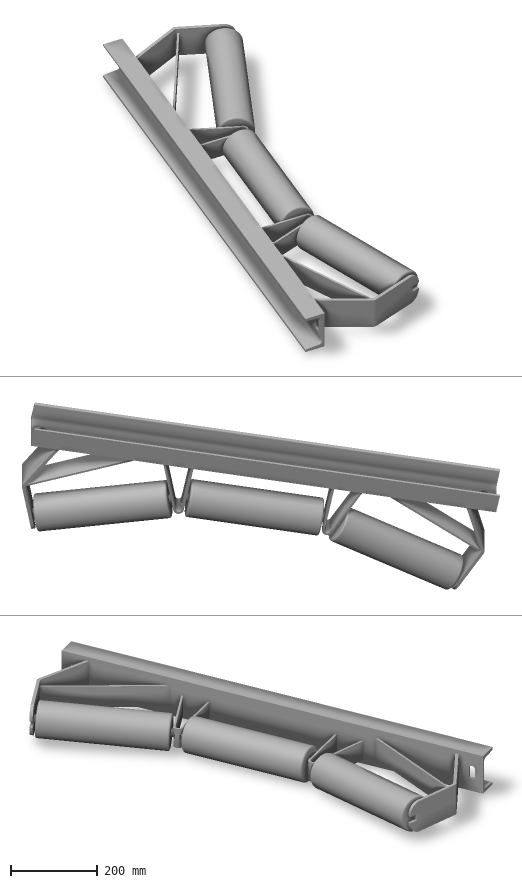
import cadquery as cq
import math

channel_length = 1100.0
channel_depth = 50.0
channel_height = 100.0
web_thickness = 6.0
flange_tip_thickness = 7.2
flange_taper = 0.08
root_radius = 9.0
toe_radius = 3.0
slot_width = 16.0
slot_height = 33.0
slot_inset = 29.0

roller_length = 315.0
roller_diameter = 89.0
roller_edge_radius = 4.0
hub_radius = 11.0
hub_length = 5.0
shaft_square = 16.0
end_gap = 7.0
center_roller_y = 115.0
center_roller_z = -14.0
wing_x = 346.0
wing_y = 180.0
wing_angle = 20.0
wing_tilt = 2.5

bracket_height = 80.0
mid_bracket_height = 51.0
outer_sheet = 8.0
mid_sheet = 5.0
mid_bend_radius = 12.0
bend_drop = 115.0
tip_rise = 30.0
tip_corner_radius = 29.0
leg_angle = 25.0
bend_radius = 11.0
strut_sheet = 5.0
strut_height = 55.0
strut_foot_x = 273.0
strut_angle = 27.5

half_length = roller_length / 2
cos_wing = math.cos(math.radians(wing_angle))
sin_wing = math.sin(math.radians(wing_angle))
tan_wing = sin_wing / cos_wing
wing_rise = half_length * math.sin(math.radians(wing_tilt))
wing_z = center_roller_z + wing_rise


def wing_point(along, across):
    """XY point given along and across the axis of the +X wing roller, from its middle."""
    x = wing_x + along * cos_wing - across * sin_wing
    y = wing_y + along * sin_wing + across * cos_wing
    return x, y


def placed(body, side):
    """Keep a +X body in place for side 1, mirror it to -X for side -1."""
    return body if side > 0 else body.mirror("YZ")


def extrude_about_mid_plane(outline, height):
    return outline.extrude(height / 2, both=True)


def make_web_slot(x):
    """Cutter for a bolt slot with a square lower end and a round upper end."""
    half_width = slot_width / 2
    arch_z = slot_height / 2 - half_width
    return (
        cq.Workplane("XZ", origin=(x, 0, 0))
        .moveTo(-half_width, -slot_height / 2)
        .lineTo(-half_width, arch_z)
        .threePointArc((0, slot_height / 2), (half_width, arch_z))
        .lineTo(half_width, -slot_height / 2)
        .close()
        .extrude(channel_depth)
    )


def make_channel():
    half_height = channel_height / 2
    tip_z = half_height - flange_tip_thickness
    root_z = tip_z - flange_taper * (channel_depth - web_thickness)
    channel = (
        cq.Workplane("YZ", origin=(-channel_length / 2, 0, 0))
        .polyline([
            (0, half_height),
            (0, -half_height),
            (-channel_depth, -half_height),
            (-channel_depth, -tip_z),
            (-web_thickness, -root_z),
            (-web_thickness, root_z),
            (-channel_depth, tip_z),
            (-channel_depth, half_height),
        ])
        .close()
        .extrude(channel_length)
    )
    for z in (-root_z, root_z):
        root = cq.selectors.NearestToPointSelector((0, -web_thickness, z))
        channel = channel.edges("|X").edges(root).fillet(root_radius)
    for z in (-tip_z, tip_z):
        toe = cq.selectors.NearestToPointSelector((0, -channel_depth, z))
        channel = channel.edges("|X").edges(toe).fillet(toe_radius)
    slot_x = channel_length / 2 - slot_inset
    for x in (-slot_x, slot_x):
        channel = channel.cut(make_web_slot(x))
    return channel


def make_square_end(start, end):
    return cq.Workplane("YZ", origin=(start, 0, 0)).rect(shaft_square, shaft_square).extrude(end - start)


def make_roller(left_sheet, right_sheet):
    drum = (
        cq.Workplane("YZ", origin=(-half_length, 0, 0))
        .circle(roller_diameter / 2)
        .extrude(roller_length)
        .faces("<X or >X")
        .edges()
        .fillet(roller_edge_radius)
    )
    hub_span = roller_length + 2 * hub_length
    hubs = cq.Workplane("YZ", origin=(-hub_span / 2, 0, 0)).circle(hub_radius).extrude(hub_span)
    left_tip = half_length + end_gap + left_sheet
    right_tip = half_length + end_gap + right_sheet
    left_end = make_square_end(-left_tip, -half_length - hub_length)
    right_end = make_square_end(half_length + hub_length, right_tip)
    return drum.union(hubs).union(left_end).union(right_end)


def place_on_wing(body):
    return (
        body.rotate((0, 0, 0), (0, 1, 0), -wing_tilt)
        .rotate((0, 0, 0), (0, 0, 1), wing_angle)
        .translate((wing_x, wing_y, wing_z))
    )


def place_at_center(body):
    return body.translate((0, center_roller_y, center_roller_z))


def make_shaft_slot(start, end):
    return cq.Workplane("XY").box(
        end - start, roller_length, shaft_square, centered=(False, False, True)
    ).translate((start, -shaft_square / 2, 0))


outer_inner_face = half_length + end_gap
outer_outer_face = outer_inner_face + outer_sheet


def make_outer_bracket():
    tan_leg = math.tan(math.radians(leg_angle))
    half_bend = math.radians(wing_angle + leg_angle) / 2
    outer_bend = wing_point(outer_outer_face, -bend_drop)
    inner_bend = wing_point(outer_inner_face, -bend_drop + outer_sheet * math.tan(half_bend))
    sheet = extrude_about_mid_plane(
        cq.Workplane("XY").polyline([
            wing_point(outer_inner_face, tip_rise),
            wing_point(outer_outer_face, tip_rise),
            outer_bend,
            (outer_bend[0] - outer_bend[1] * tan_leg, 0),
            (inner_bend[0] - inner_bend[1] * tan_leg, 0),
            inner_bend,
        ]).close(),
        bracket_height,
    )
    sheet = sheet.edges(cq.selectors.NearestToPointSelector((*outer_bend, 0))).fillet(bend_radius)
    sheet = sheet.edges(cq.selectors.NearestToPointSelector((*inner_bend, 0))).fillet(bend_radius - outer_sheet)
    middle_of_sheet = (outer_inner_face + outer_outer_face) / 2
    for z in (-bracket_height / 2, bracket_height / 2):
        corner = (*wing_point(middle_of_sheet, tip_rise), z)
        sheet = sheet.edges(cq.selectors.NearestToPointSelector(corner)).fillet(tip_corner_radius)
    slot = make_shaft_slot(half_length, outer_outer_face + outer_sheet)
    return sheet.cut(place_on_wing(slot))


def mid_bracket_outline(inset):
    """Closed outline of the fold, its faces moved inwards by inset."""
    face = half_length + end_gap
    bend_along = -face - mid_bend_radius
    bend_x = face + mid_bend_radius
    bend_across = (wing_x + bend_along * cos_wing - bend_x) / sin_wing
    bend_y = wing_point(bend_along, bend_across)[1]
    radius = mid_bend_radius - inset
    wing_tangent = (bend_x + radius * cos_wing, bend_y + radius * sin_wing)
    return (
        cq.Workplane("XY")
        .moveTo(bend_x - radius, 0)
        .lineTo(bend_x - radius, bend_y)
        .threePointArc((bend_x, bend_y + radius), wing_tangent)
        .lineTo(wing_tangent[0] + wing_tangent[1] * tan_wing, 0)
        .close()
    )


def make_mid_bracket():
    fold = mid_bracket_outline(0).extrude(mid_bracket_height)
    hollow = mid_bracket_outline(mid_sheet).extrude(mid_bracket_height)
    sheet = fold.cut(hollow).translate((0, 0, -bracket_height / 2))
    slot_end = half_length + end_gap + mid_sheet
    center_slot = place_at_center(make_shaft_slot(half_length, slot_end))
    wing_slot = place_on_wing(make_shaft_slot(-slot_end, -half_length))
    return sheet.cut(center_slot).cut(wing_slot)


def make_strut():
    angle = math.radians(strut_angle)
    half_foot = strut_sheet / math.sin(angle) / 2

    def plate_end(foot_x):
        """Where a line rising from the channel at foot_x meets the bracket plate."""
        plate_x, plate_y = wing_point(outer_inner_face, 0)
        reach = (plate_x - foot_x) * cos_wing + plate_y * sin_wing
        rise = reach / math.cos(angle - math.radians(wing_angle))
        return foot_x + rise * math.cos(angle), rise * math.sin(angle)

    upper_foot = strut_foot_x - half_foot
    lower_foot = strut_foot_x + half_foot
    outline = cq.Workplane("XY").polyline([
        (upper_foot, 0),
        plate_end(upper_foot),
        plate_end(lower_foot),
        (lower_foot, 0),
    ]).close()
    return extrude_about_mid_plane(outline, strut_height)


channel = make_channel()
center_roller = place_at_center(make_roller(mid_sheet, mid_sheet))
bodies = [channel.val(), center_roller.val()]
for side in (1, -1):
    wing_roller = placed(place_on_wing(make_roller(mid_sheet, outer_sheet)), side)
    outer_bracket = placed(make_outer_bracket(), side)
    mid_bracket = placed(make_mid_bracket(), side)
    strut = placed(make_strut(), side)
    bodies += [wing_roller.val(), outer_bracket.val(), mid_bracket.val(), strut.val()]

result = cq.Compound.makeCompound(bodies)